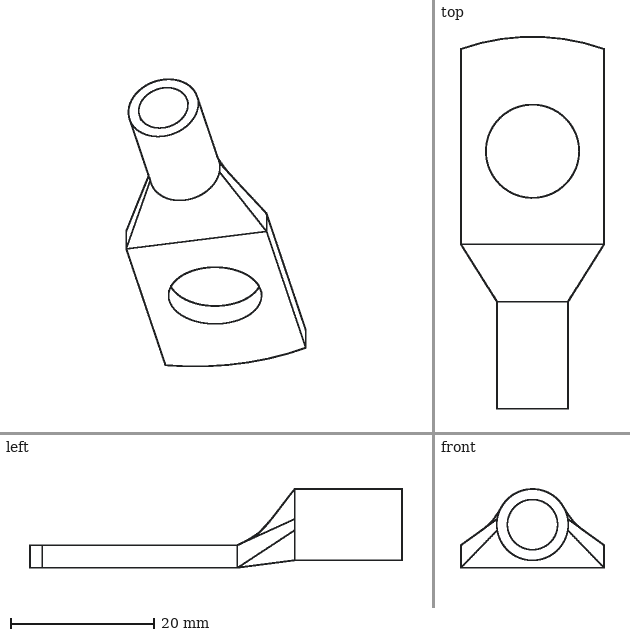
import cadquery as cq
import math

total_length = 52.0

barrel_diameter = 10.0
bore_diameter = 7.0
barrel_length = 15.0
barrel_lift = 1.05

palm_width = 20.0
palm_thickness = 3.15
tip_rise = 1.7
hole_diameter = 13.0
hole_to_neck = 13.0

neck_length = 8.0
crown_end_slope = 1.2
side_steps = 8
neck_steps = 6

neck_start = barrel_length
palm_start = neck_start + neck_length
palm_corner = total_length - tip_rise
hole_y = palm_start + hole_to_neck
barrel_axis_z = barrel_lift + barrel_diameter / 2


def make_barrel():
    return (
        cq.Workplane("XZ", origin=(0, 0, barrel_axis_z))
        .circle(barrel_diameter / 2)
        .extrude(-barrel_length)
    )


def crown_sag(along):
    """Share of the rise by which the crown of the neck lies below a straight slope."""
    sagged_rise = along**2 * (3 - 2 * along) - crown_end_slope * along**2 * (1 - along)
    return along - sagged_rise


def neck_side(angles, corners, along, sag):
    """One side of a neck section, from 0 at the palm to 1 at the barrel, as a row of points."""
    points = []
    for i in range(side_steps + 1):
        across = i / side_steps
        angle = angles[0] + across * (angles[1] - angles[0])
        rim_x = barrel_diameter / 2 * math.cos(angle)
        rim_z = barrel_axis_z + barrel_diameter / 2 * math.sin(angle)
        palm_x = corners[0][0] + across * (corners[1][0] - corners[0][0])
        palm_z = corners[0][1] + across * (corners[1][1] - corners[0][1])
        rise = along - sag * math.sin(math.pi * across)
        points.append(
            cq.Vector(
                palm_x + along * (rim_x - palm_x),
                palm_start - along * neck_length,
                palm_z + rise * (rim_z - palm_z),
            )
        )
    return points


def neck_section(along):
    """Closed four-sided section of the neck; only its top side sags."""
    half_width = palm_width / 2
    corner_angle = math.atan2(palm_thickness, palm_width)
    angles = [
        corner_angle,
        math.pi - corner_angle,
        math.pi + corner_angle,
        2 * math.pi - corner_angle,
        2 * math.pi + corner_angle,
    ]
    corners = [
        (half_width, palm_thickness),
        (-half_width, palm_thickness),
        (-half_width, 0),
        (half_width, 0),
        (half_width, palm_thickness),
    ]
    sags = [crown_sag(along), 0, 0, 0]
    edges = []
    for i, sag in enumerate(sags):
        side = neck_side(angles[i : i + 2], corners[i : i + 2], along, sag)
        edges.append(cq.Edge.makeSpline(side))
    return cq.Wire.assembleEdges(edges)


def make_neck():
    """Blend the round barrel into the rectangular end of the palm."""
    sections = [neck_section(i / neck_steps) for i in range(neck_steps + 1)]
    return cq.Workplane(cq.Solid.makeLoft(sections))


def make_palm():
    half_width = palm_width / 2
    return (
        cq.Workplane("XY")
        .moveTo(-half_width, palm_start)
        .lineTo(half_width, palm_start)
        .lineTo(half_width, palm_corner)
        .threePointArc((0, total_length), (-half_width, palm_corner))
        .close()
        .extrude(palm_thickness)
    )


def make_bore():
    """Blind wire bore, as deep as the barrel is long."""
    return (
        cq.Workplane("XZ", origin=(0, 0, barrel_axis_z))
        .circle(bore_diameter / 2)
        .extrude(-barrel_length)
    )


def make_bolt_hole():
    return (
        cq.Workplane("XY")
        .center(0, hole_y)
        .circle(hole_diameter / 2)
        .extrude(palm_thickness)
    )


body = make_barrel().union(make_neck()).union(make_palm())
result = body.cut(make_bore()).cut(make_bolt_hole())